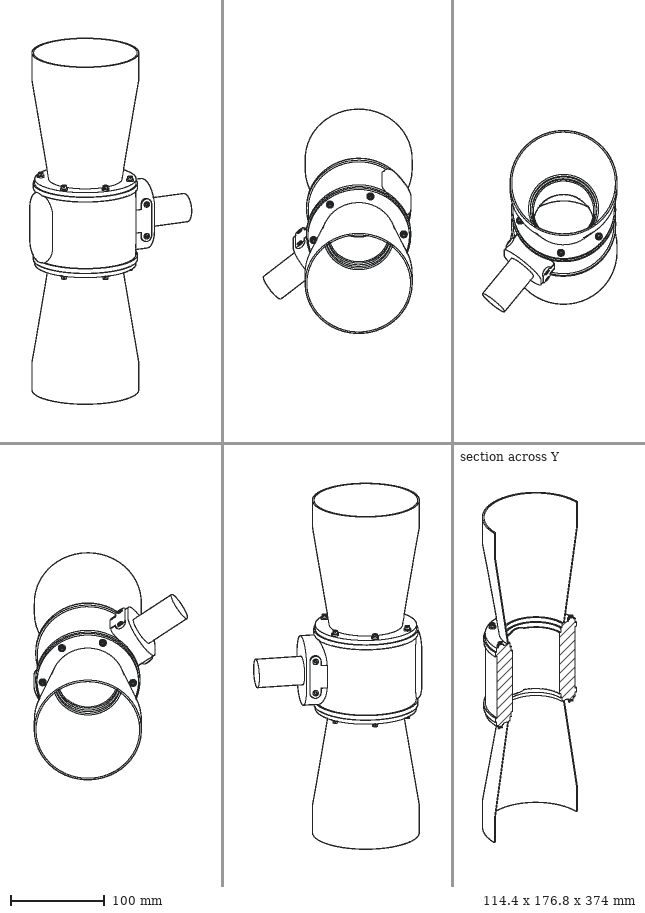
import cadquery as cq
import math

half_length = 187.0
wall = 2.0
mouth_radius = 57.2
mouth_length = 30.0
throat_radius = 39.3

housing_radius = 54.0
housing_half_height = 37.0
housing_bore_radius = 32.0
ring_radius = 55.7
ring_thickness = 5.2
lid_radius = 54.2
lid_thickness = 5.0
ring_bore_radius = 33.5
lid_bore_radius = 35.5
ring_top = housing_half_height + ring_thickness
lid_top = ring_top + lid_thickness

hex_sides = 6
bolt_circle_radius = 48.2
bolt_angles = (0, 54.5, 125.5, 180, 234.5, 305.5)
washer_radius = 3.7
washer_thickness = 1.5
bolt_head_radius = 2.5
bolt_head_top = 4.5
bolt_socket_width = 3.0
bolt_socket_depth = 2.0

pad_width = 42.3
pad_straight = 36.0
pad_face = 57.5
pad_round = 4.5

boss_width = 50.5
boss_straight = 25.5
boss_face = 70.0
shaft_radius = 15.5
shaft_end = 119.3

plate_width = 12.5
plate_length = 47.0
plate_center = 60.2
plate_half_span = 25.8
plate_screw_spacing = 35.0
plate_screw_radius = 3.0
plate_socket_width = 3.0
plate_socket_depth = 1.5
plate_screw_height = 0.7


def disc(radius, bottom, top):
    """Solid cylinder along Z between two heights."""
    return cq.Workplane("XY").workplane(offset=bottom).circle(radius).extrude(top - bottom)


def mirrored(upper):
    """Upper half feature together with its copy below the XY plane."""
    return upper.union(upper.mirror("XY"))


def flared_tube():
    """Upper cone and its straight mouth as one thin revolved wall."""
    flare_top = half_length - mouth_length
    return (
        cq.Workplane("XZ")
        .moveTo(throat_radius - wall, lid_top)
        .lineTo(throat_radius, lid_top)
        .lineTo(mouth_radius, flare_top)
        .lineTo(mouth_radius, half_length)
        .lineTo(mouth_radius - wall, half_length)
        .lineTo(mouth_radius - wall, flare_top)
        .close()
        .revolve(360, (0, 0, 0), (0, 1, 0))
    )


def lid_bolt():
    """Washer and socket-head bolt standing on the XY plane."""
    washer = disc(washer_radius, 0, washer_thickness)
    head = disc(bolt_head_radius, 0, bolt_head_top)
    bolt = washer.union(head)
    socket = bolt.faces(">Z").workplane().polygon(hex_sides, bolt_socket_width)
    return socket.cutBlind(-bolt_socket_depth)


def end_cap():
    """Upper ring, lid and the bolts standing on the lid."""
    ring = disc(ring_radius, housing_half_height, ring_top)
    ring = ring.cut(disc(ring_bore_radius, housing_half_height, ring_top))
    lid = disc(lid_radius, ring_top, lid_top)
    lid = lid.cut(disc(lid_bore_radius, ring_top, lid_top))
    cap = ring.union(lid)
    bolt = lid_bolt()
    for angle in bolt_angles:
        x = bolt_circle_radius * math.cos(math.radians(angle))
        y = bolt_circle_radius * math.sin(math.radians(angle))
        cap = cap.union(bolt.translate((x, y, lid_top)))
    return cap


def upright_slot(width, straight, start_y, end_y):
    """Slot-shaped block, long along Z, between two Y positions."""
    return (
        cq.Workplane("XZ", origin=(0, start_y, 0))
        .slot2D(straight + width, width, 90)
        .extrude(start_y - end_y)
    )


def window_pad():
    """Slot-shaped pad with a rounded front edge."""
    pad = upright_slot(pad_width, pad_straight, 0, -pad_face)
    return pad.faces("<Y").edges().fillet(pad_round)


def name_plates():
    """Plates on both boss flanks, each with a tab running inward to the housing."""
    plates = (
        cq.Workplane("YZ", origin=(0, plate_center, 0))
        .slot2D(plate_length, plate_width, 90)
        .extrude(plate_half_span, both=True)
    )
    tabs = cq.Workplane("XY").box(
        2 * plate_half_span, plate_center, boss_straight, centered=(True, False, True)
    )
    return plates.union(tabs)


def plate_screw_seats(x):
    """Workplane facing +X at the given x, with a point at each plate screw."""
    return (
        cq.Workplane("YZ", origin=(x, plate_center, 0))
        .rarray(3.7, plate_screw_spacing, 1, 2)
    )


def connection():
    """Boss, shaft and the screwed name plates on the boss flanks."""
    boss = upright_slot(boss_width, boss_straight, 0, boss_face)
    shaft = cq.Workplane("XZ").circle(shaft_radius).extrude(-shaft_end)
    head_face = plate_half_span + plate_screw_height
    screws = plate_screw_seats(0).circle(plate_screw_radius).extrude(head_face, both=True)
    sockets = (
        plate_screw_seats(head_face)
        .polygon(hex_sides, plate_socket_width)
        .extrude(-plate_socket_depth)
    )
    sockets = sockets.union(sockets.mirror("YZ"))
    return boss.union(shaft).union(name_plates()).union(screws).cut(sockets)


housing = disc(housing_radius, -housing_half_height, housing_half_height)
housing = housing.union(window_pad()).union(connection())
housing = housing.cut(disc(housing_bore_radius, -lid_top, lid_top))

result = housing.union(mirrored(end_cap())).union(mirrored(flared_tube()))